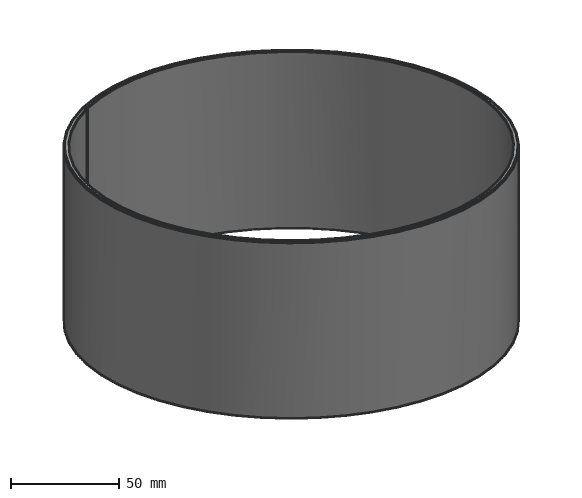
import cadquery as cq

outer_diameter = 210.0
height = 90.0
wall_thickness = 2.5
outer_chamfer = 0.5
inner_chamfer = 0.2
slit_angle = 0.95

outer_radius = outer_diameter / 2
inner_radius = outer_radius - wall_thickness


def wall_section():
    """Wall section on the -X side; the outer rim corners have the larger chamfers."""
    wall_centre_x = -(outer_radius + inner_radius) / 2
    blank = cq.Sketch().push([(wall_centre_x, height / 2)]).rect(wall_thickness, height).reset()
    outer_chamfered = blank.vertices("<X").chamfer(outer_chamfer).reset()
    return outer_chamfered.vertices(">X").chamfer(inner_chamfer).reset()


def split_ring():
    """Ring swept from -X through -Y, leaving the slit on the +Y side of the -X axis."""
    sweep_angle = 360 - slit_angle
    axis_start = (0, 0, 0)
    axis_end = (0, 1, 0)
    section = cq.Workplane("XZ").placeSketch(wall_section())
    return section.revolve(sweep_angle, axis_start, axis_end)


result = split_ring()